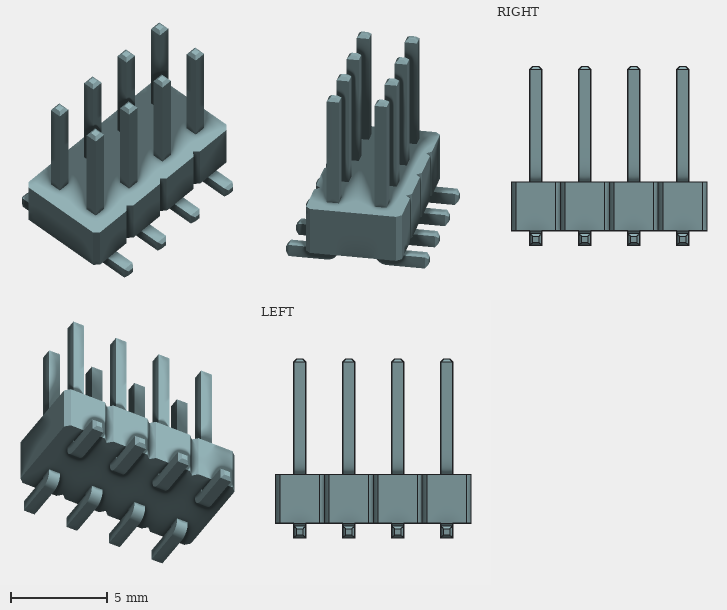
import cadquery as cq


pitch = 2.54
columns = 2
rows = 4

block_width = columns * pitch
block_length = rows * pitch
block_height = pitch
notch_depth = 0.25

pin_size = 0.64
tip_chamfer = pin_size / 4
bend_radius = pin_size
foot_span = 7.54
overall_height = 9.3
foot_gap = 0.13

block_bottom = pin_size + foot_gap


def make_block():
    """Plain block whose row boundaries are marked by 45 degree V-notches on both long sides."""
    block = cq.Workplane("XY").workplane(offset=block_bottom)
    block = block.rect(block_width, block_length).extrude(block_height)

    boundaries = [
        (side * block_width / 2, row * pitch - block_length / 2)
        for side in (-1, 1)
        for row in range(rows + 1)
    ]
    cutter = (
        cq.Workplane("XY")
        .workplane(offset=block_bottom)
        .pushPoints(boundaries)
        .polygon(4, 2 * notch_depth)
        .extrude(block_height)
    )
    return block.cut(cutter)


def make_pin():
    """Right-hand pin centred on Y = 0: upright post, rounded outer bend and foot toward +X."""
    post_inner = pitch / 2 - pin_size / 2
    post_outer = post_inner + pin_size
    foot_end = foot_span / 2
    pin = (
        cq.Workplane("XZ")
        .moveTo(post_inner + bend_radius, 0)
        .lineTo(foot_end, 0)
        .lineTo(foot_end, pin_size)
        .lineTo(post_outer, pin_size)
        .lineTo(post_outer, overall_height)
        .lineTo(post_inner, overall_height)
        .lineTo(post_inner, bend_radius)
        .radiusArc((post_inner + bend_radius, 0), -bend_radius)
        .close()
        .extrude(pin_size / 2, both=True)
    )
    return pin.faces(">Z or >X").chamfer(tip_chamfer)


right_pin = make_pin()
left_pin = right_pin.mirror("YZ")

result = make_block()
for row in range(rows):
    row_y = (row + 0.5) * pitch - block_length / 2
    result = result.union(right_pin.translate((0, row_y, 0)))
    result = result.union(left_pin.translate((0, row_y, 0)))